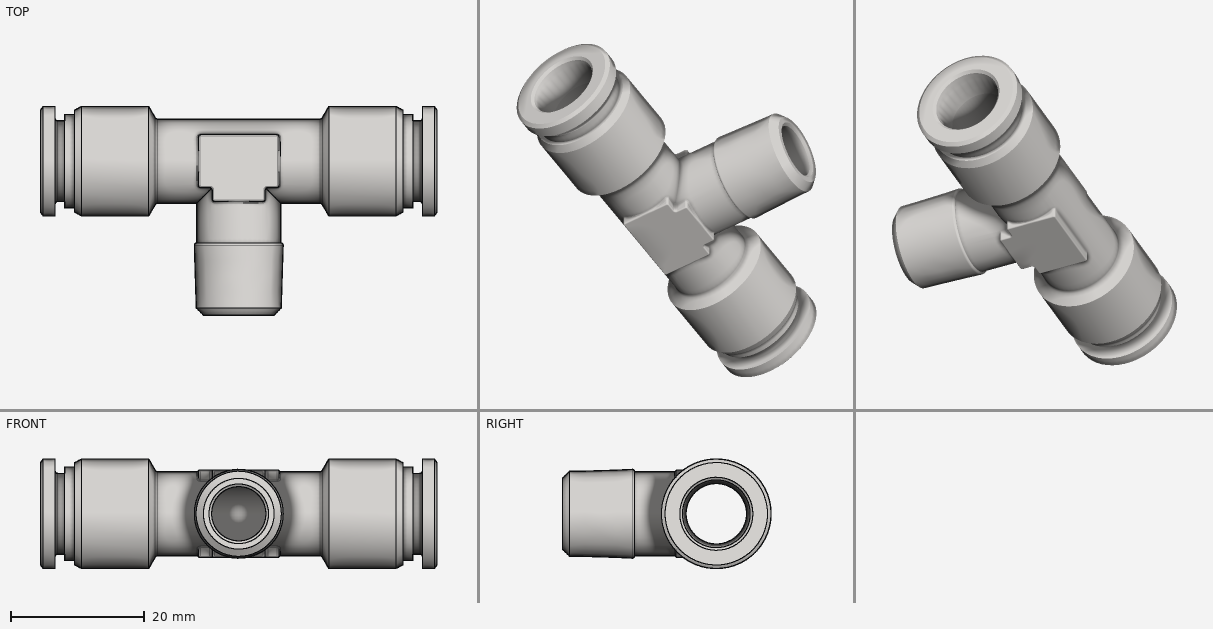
import cadquery as cq
import math


BODY_RADIUS = 6.3
RUN_BORE_RADIUS = 4.5

SLEEVE_RADIUS = 8.2
SLEEVE_START = 13.45
SLEEVE_END = 24.55
SLEEVE_TAPER_ANGLE = 60.0
SLEEVE_ROOT_RADIUS = 0.4
SLEEVE_CHAMFER_LENGTH = 1.1
SLEEVE_CHAMFER_DEPTH = 0.6

COLLAR_RADIUS = 7.0
COLLAR_END = 26.0
NECK_RADIUS = 6.05
NECK_FILLET = 0.35
FLANGE_RADIUS = SLEEVE_RADIUS
FLANGE_START = 27.4
RUN_HALF_LENGTH = 29.6
FLANGE_CHAMFER_LENGTH = 0.4
FLANGE_CHAMFER_DEPTH = 0.55

ENTRY_RADIUS = 5.06
ENTRY_CHAMFER = 0.4
ENTRY_CONE_LENGTH = 4.6

THREAD_START = 12.55
BRANCH_LENGTH = 23.0
THREAD_START_RADIUS = 6.65
THREAD_TAPER = 1 / 16
THREAD_ROOT_FILLET = THREAD_START_RADIUS - BODY_RADIUS
TIP_CHAMFER_LENGTH = 1.1
TIP_RADIUS = 5.28
BRANCH_BORE_RADIUS = 4.05
BRANCH_BORE_CHAMFER = 0.4

PAD_HEIGHT = 6.55
PAD_HALF_WIDTH = 6.0
PAD_HALF_DEPTH = 3.95
PAD_STEM_END = PAD_HALF_WIDTH
PAD_ROOT_FILLET = 0.25
PAD_CORNER_FILLET = 0.3
PAD_TOP_FILLET = 0.2
PAD_NOTCH_FILLET = 0.4
PAD_BLANK_HEIGHT = 8.2
JUNCTION_HALF_LENGTH = 10.0


def run_end(side):
    """Sleeve, collar and release ring at one end of the run (side is +1 or -1)."""
    slope = math.radians(SLEEVE_TAPER_ANGLE)
    taper_foot = SLEEVE_START - (SLEEVE_RADIUS - BODY_RADIUS) / math.tan(slope)
    root_tangent = SLEEVE_ROOT_RADIUS * math.tan(slope / 2)
    root_start = (taper_foot - root_tangent, BODY_RADIUS)
    root_end = (
        taper_foot + root_tangent * math.cos(slope),
        BODY_RADIUS + root_tangent * math.sin(slope),
    )
    profile = (
        cq.Workplane("XY")
        .moveTo(0, 0)
        .lineTo(0, BODY_RADIUS)
        .lineTo(*root_start)
        .tangentArcPoint(root_end, relative=False)
        .lineTo(SLEEVE_START, SLEEVE_RADIUS)
        .lineTo(SLEEVE_END - SLEEVE_CHAMFER_LENGTH, SLEEVE_RADIUS)
        .lineTo(SLEEVE_END, SLEEVE_RADIUS - SLEEVE_CHAMFER_DEPTH)
        .lineTo(SLEEVE_END, COLLAR_RADIUS)
        .lineTo(COLLAR_END, COLLAR_RADIUS)
        .lineTo(COLLAR_END, NECK_RADIUS)
        .lineTo(FLANGE_START - NECK_FILLET, NECK_RADIUS)
        .tangentArcPoint((FLANGE_START, NECK_RADIUS + NECK_FILLET), relative=False)
        .lineTo(FLANGE_START, FLANGE_RADIUS)
        .lineTo(RUN_HALF_LENGTH - FLANGE_CHAMFER_LENGTH, FLANGE_RADIUS)
        .lineTo(RUN_HALF_LENGTH, FLANGE_RADIUS - FLANGE_CHAMFER_DEPTH)
        .lineTo(RUN_HALF_LENGTH, 0)
        .close()
    )
    end = profile.revolve(360, (0, 0, 0), (1, 0, 0))
    return end if side > 0 else end.mirror("YZ")


def run_bore_half(side):
    """Half of the through bore with its conical tube entry (side is +1 or -1)."""
    cone_start = RUN_HALF_LENGTH - ENTRY_CHAMFER
    bore = (
        cq.Workplane("XY")
        .polyline([
            (0, 0),
            (0, RUN_BORE_RADIUS),
            (cone_start - ENTRY_CONE_LENGTH, RUN_BORE_RADIUS),
            (cone_start, ENTRY_RADIUS),
            (RUN_HALF_LENGTH, ENTRY_RADIUS + ENTRY_CHAMFER),
            (RUN_HALF_LENGTH, 0),
        ])
        .close()
        .revolve(360, (0, 0, 0), (1, 0, 0))
    )
    return bore if side > 0 else bore.mirror("YZ")


def thread():
    """Tapered thread envelope with a chamfered tip and a small fillet at its root."""
    chamfer_start = BRANCH_LENGTH - TIP_CHAMFER_LENGTH
    end_radius = THREAD_START_RADIUS - (chamfer_start - THREAD_START) * THREAD_TAPER / 2
    return (
        cq.Workplane("XY")
        .moveTo(0, THREAD_ROOT_FILLET - THREAD_START)
        .lineTo(BODY_RADIUS, THREAD_ROOT_FILLET - THREAD_START)
        .tangentArcPoint((THREAD_START_RADIUS, -THREAD_START), relative=False)
        .lineTo(end_radius, -chamfer_start)
        .lineTo(TIP_RADIUS, -BRANCH_LENGTH)
        .lineTo(0, -BRANCH_LENGTH)
        .close()
        .revolve(360, (0, 0, 0), (0, 1, 0))
    )


def branch_bore():
    """Bore from the branch tip into the run bore, chamfered at the mouth."""
    return (
        cq.Workplane("XY")
        .polyline([
            (0, 0),
            (BRANCH_BORE_RADIUS, 0),
            (BRANCH_BORE_RADIUS, BRANCH_BORE_CHAMFER - BRANCH_LENGTH),
            (BRANCH_BORE_RADIUS + BRANCH_BORE_CHAMFER, -BRANCH_LENGTH),
            (0, -BRANCH_LENGTH),
        ])
        .close()
        .revolve(360, (0, 0, 0), (0, 1, 0))
    )


def pad_root_band(side):
    """Selector for the edges where a pad meets the cylinders (side +1 above, -1 below)."""
    low, high = sorted((side * PAD_HALF_DEPTH, side * PAD_HEIGHT))
    reach = JUNCTION_HALF_LENGTH
    return cq.selectors.BoxSelector((-reach, -reach, low), (reach, reach, high))


def notch_corners():
    """Selector for the two inside corner edges of the T-shaped pad outline."""
    margin = PAD_NOTCH_FILLET
    return cq.selectors.BoxSelector(
        (-PAD_HALF_DEPTH - margin, -PAD_HALF_DEPTH - margin, -PAD_BLANK_HEIGHT),
        (PAD_HALF_DEPTH + margin, -PAD_HALF_DEPTH + margin, PAD_BLANK_HEIGHT),
    )


def junction():
    """Crossing of run and branch with T-shaped pads blended into both cylinders."""
    run = cq.Workplane("YZ").circle(BODY_RADIUS).extrude(JUNCTION_HALF_LENGTH, both=True)
    branch = cq.Workplane("XZ").circle(BODY_RADIUS).extrude(THREAD_START)
    pads = (
        cq.Workplane("XY")
        .polyline([
            (-PAD_HALF_WIDTH, PAD_HALF_DEPTH),
            (PAD_HALF_WIDTH, PAD_HALF_DEPTH),
            (PAD_HALF_WIDTH, -PAD_HALF_DEPTH),
            (PAD_HALF_DEPTH, -PAD_HALF_DEPTH),
            (PAD_HALF_DEPTH, -PAD_STEM_END),
            (-PAD_HALF_DEPTH, -PAD_STEM_END),
            (-PAD_HALF_DEPTH, -PAD_HALF_DEPTH),
            (-PAD_HALF_WIDTH, -PAD_HALF_DEPTH),
        ])
        .close()
        .extrude(PAD_BLANK_HEIGHT, both=True)
        .edges("|Z and (>X or <X or <Y)")
        .fillet(PAD_CORNER_FILLET)
        .edges(notch_corners())
        .edges("|Z")
        .fillet(PAD_NOTCH_FILLET)
    )
    pad_roots = pad_root_band(1) + pad_root_band(-1)
    blended = run.union(branch).union(pads).edges(pad_roots).fillet(PAD_ROOT_FILLET)

    envelope = cq.Workplane("XY").box(4 * THREAD_START, 4 * THREAD_START, 2 * PAD_HEIGHT)
    return blended.intersect(envelope).faces(">Z or <Z").edges().fillet(PAD_TOP_FILLET)


fitting = junction().union(thread())
for side in (1, -1):
    fitting = fitting.union(run_end(side))
for side in (1, -1):
    fitting = fitting.cut(run_bore_half(side))
result = fitting.cut(branch_bore())